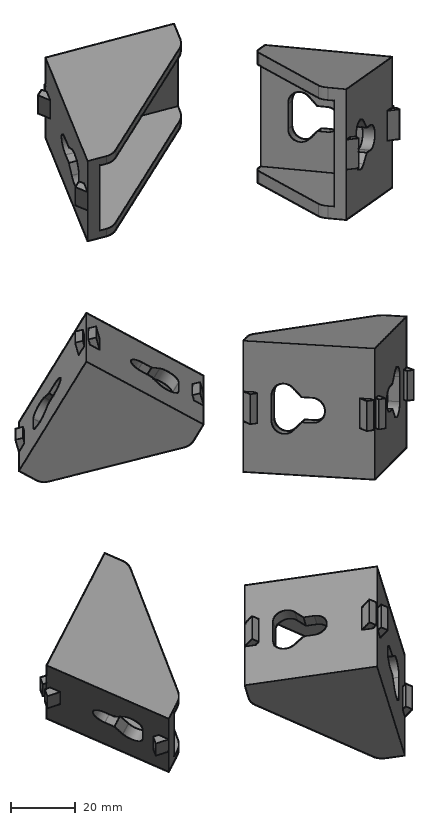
import cadquery as cq
import math

overall = 45.0
tab_depth = 3.0
side = overall - tab_depth
height = side
wall = 4.0
end_flat = 8.25
corner_radius = 5.0
tab_thickness = 2.48
tab_height = 9.6
hole_radius = 4.0
slot_center = 19.95
lobe_center = 29.0


def bracket_body():
    """Triangular block, hollowed from its sloping side to leave two walls and two plates."""
    block = (
        cq.Workplane("XY")
        .polyline([(0, 0), (side, 0), (side, end_flat), (end_flat, side), (0, side)])
        .close()
        .extrude(height)
    )
    slope_corners = cq.selectors.BoxSelector(
        (end_flat / 2, end_flat / 2, 0), (side + 0.45, side + 0.45, height)
    )
    block = block.edges("|Z").edges(slope_corners).fillet(corner_radius)
    cavity = cq.Workplane("XY").box(side, side, height - 2 * wall, centered=False)
    return block.cut(cavity.translate((wall, wall, wall)))


def keyhole():
    """Keyhole cutter through the wall on the XZ plane."""
    r = hole_radius
    diagonal = r * math.sqrt(0.5)
    neck_end = lobe_center - r * math.sqrt(2)
    return (
        cq.Workplane("XZ", origin=(0, 0, height / 2))
        .moveTo(slot_center, r)
        .lineTo(neck_end, r)
        .lineTo(lobe_center - diagonal, r + diagonal)
        .threePointArc((lobe_center + diagonal, r + diagonal), (lobe_center + r, r))
        .lineTo(lobe_center + r, -r)
        .threePointArc((lobe_center + diagonal, -r - diagonal), (lobe_center - diagonal, -r - diagonal))
        .lineTo(neck_end, -r)
        .lineTo(slot_center, -r)
        .threePointArc((slot_center - r, 0), (slot_center, r))
        .close()
        .extrude(-wall)
    )


def tab(start):
    """Square-ended tab leaning 45 degrees out of the XZ wall towards the square corner."""
    tip = tab_thickness * math.sqrt(0.5)
    heel_depth = tab_depth - tip
    outline = [
        (start, -heel_depth),
        (start + tip, -tab_depth),
        (start + tip + tab_depth, 0),
        (start + heel_depth, 0),
    ]
    return (
        cq.Workplane("XY", origin=(0, 0, (height - tab_height) / 2))
        .polyline(outline)
        .close()
        .extrude(tab_height)
    )


def swap_xy(shape):
    """Mirror across the vertical plane X = Y, onto the other wall."""
    return shape.rotate((0, 0, 0), (0, 0, 1), 90).mirror("YZ")


tab_length = tab_depth + tab_thickness * math.sqrt(0.5)

result = bracket_body()
result = result.cut(keyhole()).cut(swap_xy(keyhole()))
for tab_start in (0, side - tab_length):
    result = result.union(tab(tab_start))
    result = result.union(swap_xy(tab(tab_start)))